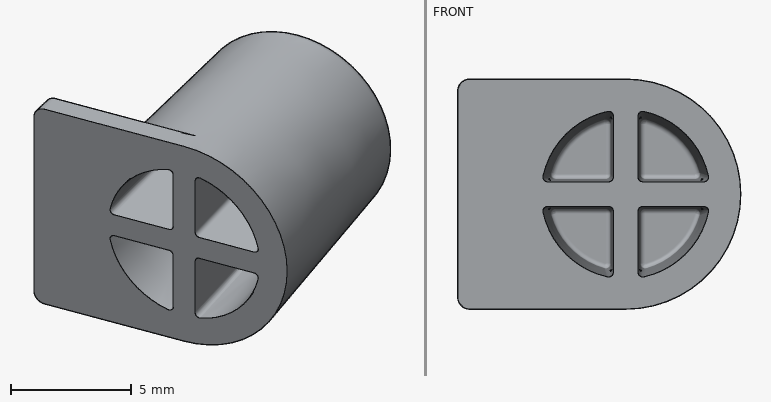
import cadquery as cq
import math

LENGTH_X = 11.75
DEPTH_Y = 10.7
HEIGHT_Z = 9.55

BARREL_RADIUS = HEIGHT_Z / 2
PLATE_REACH = LENGTH_X - BARREL_RADIUS
PLATE_THICKNESS = 1.0
PLATE_CORNER_RADIUS = 0.5
END_EDGE_RADIUS = 0.5
OUTER_DRAFT = 2.0

POCKET_COUNT = 4
POCKET_RADIUS = 3.51
POCKET_DEPTH = 9.0
RIB_WIDTH = 1.02
RIB_DRAFT = 0.7
POCKET_EDGE_RADIUS = 0.2

FRONT_ORIGIN = cq.Vector(0, 0, 0)
BACKWARD = cq.Vector(0, 1, 0)


def front_sketch():
    """Workplane on the front face: local x is X, local y is -Z, extruding toward +Y."""
    return cq.Workplane(cq.Plane(FRONT_ORIGIN, xDir=(1, 0, 0), normal=BACKWARD))


def drafted_cone(front_radius, length):
    """Cone along +Y that narrows by the outer draft."""
    back_radius = front_radius - length * math.tan(math.radians(OUTER_DRAFT))
    cone = cq.Solid.makeCone(front_radius, back_radius, length, FRONT_ORIGIN, BACKWARD)
    return cq.Workplane(obj=cone)


def make_barrel():
    barrel = drafted_cone(BARREL_RADIUS, DEPTH_Y)
    return barrel.faces(">Y").edges().fillet(END_EDGE_RADIUS)


def make_plate():
    """Drafted plate; its round end and tangent sides match the barrel's taper."""
    outline = (
        front_sketch()
        .moveTo(0, BARREL_RADIUS)
        .lineTo(-PLATE_REACH + PLATE_CORNER_RADIUS, BARREL_RADIUS)
        .radiusArc((-PLATE_REACH, BARREL_RADIUS - PLATE_CORNER_RADIUS), -PLATE_CORNER_RADIUS)
        .lineTo(-PLATE_REACH, -BARREL_RADIUS + PLATE_CORNER_RADIUS)
        .radiusArc((-PLATE_REACH + PLATE_CORNER_RADIUS, -BARREL_RADIUS), -PLATE_CORNER_RADIUS)
        .lineTo(0, -BARREL_RADIUS)
        .threePointArc((BARREL_RADIUS, 0), (0, BARREL_RADIUS))
        .close()
    )
    return outline.extrude(PLATE_THICKNESS, taper=OUTER_DRAFT)


def make_pocket():
    """Solid that fills one pocket: a quarter of a cone, cut off by two drafted rib walls."""
    rib_wall = RIB_WIDTH / 2
    block_side = 2 * POCKET_RADIUS
    block_center = rib_wall + block_side / 2
    block = (
        front_sketch()
        .center(block_center, block_center)
        .rect(block_side, block_side)
        .extrude(POCKET_DEPTH, taper=RIB_DRAFT)
    )
    quarter = drafted_cone(POCKET_RADIUS, POCKET_DEPTH).intersect(block)
    return quarter.edges("not(<Y)").fillet(POCKET_EDGE_RADIUS)


def make_housing():
    housing = make_barrel().union(make_plate())
    pocket = make_pocket()
    for index in range(POCKET_COUNT):
        angle = index * 360 / POCKET_COUNT
        housing = housing.cut(pocket.rotate(FRONT_ORIGIN, BACKWARD, angle))
    return housing


housing = make_housing()

result = cq.Compound.makeCompound([housing.solids().val()])